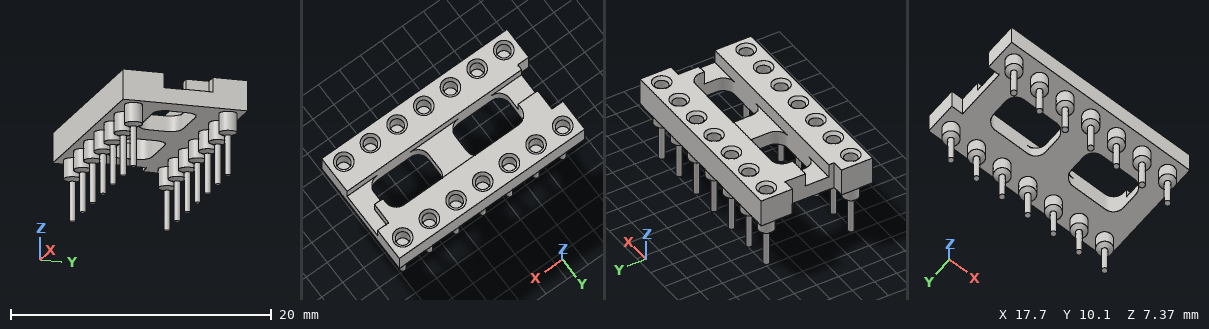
import cadquery as cq

length = 17.68
width = 10.06
height = 2.44

contacts_per_row = 7
row_spacing = 7.62
pitch = row_spacing / 3

end_notch_depth = 1.06
end_notch_width = 4.42

channel_floor = 1.25
opening_width = 3.45
channel_side = opening_width / 2
end_bar_wall = 0.37
end_step_length = end_notch_depth
end_step_side = end_notch_width / 2

window_length = 5.16
window_radius = 0.99
cross_bar = 2.55
middle_x = end_notch_depth / 2
window_offset = (window_length + cross_bar) / 2

collar_diameter = 1.4
collar_length = 1.52
taper_length = 0.23
pin_diameter = 0.51
pin_length = 3.18
mouth_diameter = 1.57
bore_diameter = 1.11
mouth_depth = 0.27
bore_depth = 1.77


def block(x_range, y_range, z_range):
    """Box spanning the given start and end along each axis."""
    sizes = [end - start for start, end in (x_range, y_range, z_range)]
    corner = (x_range[0], y_range[0], z_range[0])
    return cq.Workplane("XY").box(*sizes, centered=False).translate(corner)


def make_housing():
    """Plain block with the end notch, stepped channel and two windows."""
    left = -length / 2
    right = length / 2
    notch_side = end_notch_width / 2
    upper_half = (channel_floor, height)
    window_left = middle_x - window_offset - window_length / 2
    window_right = middle_x + window_offset + window_length / 2

    body = cq.Workplane("XY").box(length, width, height, centered=(True, True, False))
    body = body.cut(block((left, left + end_notch_depth), (-notch_side, notch_side), (0, height)))

    body = body.cut(block((left, right), (-channel_side, end_bar_wall), upper_half))
    middle = (window_left + window_radius, window_right - window_radius)
    body = body.cut(block(middle, (-channel_side, channel_side), upper_half))

    body = body.cut(block((right - end_step_length, right), (-channel_side, end_step_side), upper_half))

    windows = (
        cq.Workplane("XY")
        .pushPoints([(middle_x - window_offset, 0), (middle_x + window_offset, 0)])
        .rect(window_length, opening_width)
        .extrude(height)
        .edges("|Z")
        .fillet(window_radius)
    )
    return body.cut(windows)


def make_contact():
    """Collar, taper and pin below the housing, as one turned body on the Z axis."""
    collar_end = -collar_length
    taper_end = collar_end - taper_length
    pin_tip = taper_end - pin_length
    return (
        cq.Workplane("XZ")
        .moveTo(0, height / 2)
        .lineTo(collar_diameter / 2, height / 2)
        .lineTo(collar_diameter / 2, collar_end)
        .lineTo(pin_diameter / 2, taper_end)
        .lineTo(pin_diameter / 2, pin_tip)
        .lineTo(0, pin_tip)
        .close()
        .revolve(360, (0, 0), (0, 1))
    )


def make_socket():
    """Blind bore with a conical mouth, on the Z axis."""
    mouth_bottom = height - mouth_depth
    bore_bottom = height - bore_depth
    return (
        cq.Workplane("XZ")
        .moveTo(0, height)
        .lineTo(mouth_diameter / 2, height)
        .lineTo(bore_diameter / 2, mouth_bottom)
        .lineTo(bore_diameter / 2, bore_bottom)
        .lineTo(0, bore_bottom)
        .close()
        .revolve(360, (0, 0), (0, 1))
    )


result = make_housing()
contact = make_contact()
socket = make_socket()
for column in range(contacts_per_row):
    x = (column - (contacts_per_row - 1) / 2) * pitch
    for y in (-row_spacing / 2, row_spacing / 2):
        result = result.union(contact.translate((x, y, 0))).cut(socket.translate((x, y, 0)))